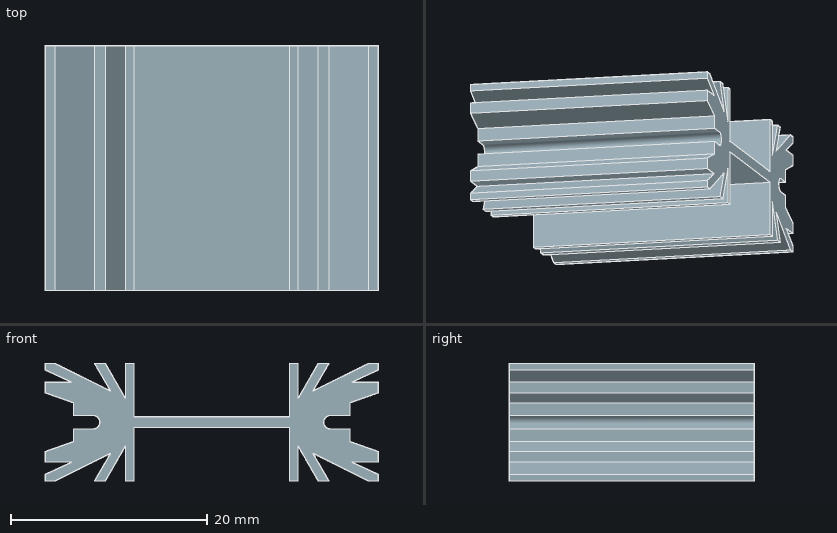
import cadquery as cq

width = 34.0
length = 25.0
height = 12.0
half_width = width / 2
half_height = height / 2

web_thickness = 1.12
plate_thickness = 0.9
plate_inner_x = 7.92
plate_outer_x = plate_inner_x + plate_thickness

plate_valley_z = 2.45
slant_tip_inner_x = 10.85
slant_tip_width = 1.12
slant_tip_outer_x = slant_tip_inner_x + slant_tip_width

fin_valley_x = 10.35
fin_valley_z = 3.2
corner_tip_width = 1.02
corner_tip_height = 0.68

notch_depth = 2.7
notch_z = 4.08
side_tip_height = 1.1

recess_depth = 2.9
recess_half_height = 1.97
slot_radius = 0.68
slot_end_x = 11.42
recess_x = half_width - recess_depth
slot_center_x = slot_end_x + slot_radius

upper_edge = [
    (plate_inner_x, web_thickness / 2),
    (plate_inner_x, half_height),
    (plate_outer_x, half_height),
    (plate_outer_x, plate_valley_z),
    (slant_tip_inner_x, half_height),
    (slant_tip_outer_x, half_height),
    (fin_valley_x, fin_valley_z),
    (half_width - corner_tip_width, half_height),
    (half_width, half_height),
    (half_width, half_height - corner_tip_height),
    (half_width - notch_depth, notch_z),
    (half_width, notch_z),
    (half_width, notch_z - side_tip_height),
    (recess_x, recess_half_height),
    (recess_x, slot_radius),
    (slot_center_x, slot_radius),
]
lower_edge = [(x, -z) for x, z in reversed(upper_edge)]


def fin_cluster():
    """Right-hand fins, extruded along Y and centred on it."""
    return (
        cq.Workplane("XZ")
        .polyline(upper_edge)
        .threePointArc((slot_end_x, 0), lower_edge[0])
        .polyline(lower_edge[1:], includeCurrent=True)
        .close()
        .extrude(length / 2, both=True)
    )


right_cluster = fin_cluster()
left_cluster = right_cluster.mirror("YZ")
web = cq.Workplane("XY").box(2 * plate_inner_x, length, web_thickness)

result = web.union(right_cluster).union(left_cluster)